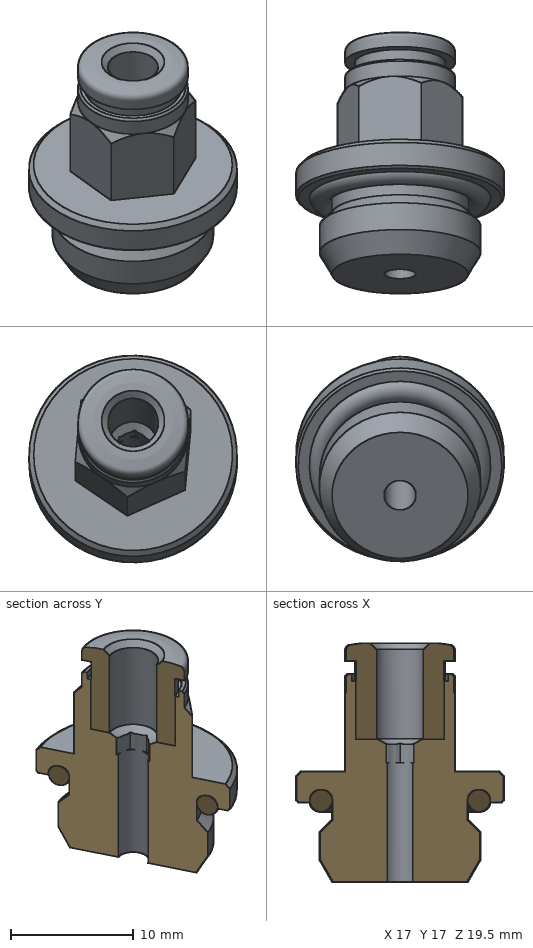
import cadquery as cq
import math

height = 19.5
axis_start = (0, 0)
axis_direction = (0, 1)

thread_diameter = 13.16
thread_bottom_diameter = 11.1
thread_lead_in = 1.8
thread_top_z = 4.08
neck_diameter = 11.2
flange_diameter = 17.0
flange_bottom_z = 6.5
flange_top_z = 9.03
flange_top_chamfer = 0.39
flange_bottom_chamfer = 0.2

hex_flats = 9.0
hex_corner_z = 14.82
hex_top_z = 15.52
collar_diameter = hex_flats
collar_top_z = 17.0
collar_chamfer = 0.2

bore_diameter = 2.6
socket_flats = 2.5
socket_depth = 1.95
funnel_height = 0.45
sleeve_seat_z = 11.7
mouth_diameter = 8.0
mouth_depth = 0.58

sleeve_diameter = 7.4
sleeve_bore = 4.1
sleeve_mouth_diameter = 5.13
sleeve_mouth_depth = 0.5
button_bottom_z = 18.04
button_flat_diameter = 6.51
button_shoulder_diameter = 8.19
button_shoulder_z = 19.38
button_edge_z = 18.92

seal_bottom_z = 5.71
seal_outer_diameter = 14.82
seal_cord_radius = (seal_outer_diameter - neck_diameter) / 4
seal_center_radius = neck_diameter / 2 + seal_cord_radius
seal_center_z = seal_bottom_z + seal_cord_radius


def revolve(profile):
    """Turn a closed half profile, drawn as (radius, z), about the Z axis."""
    return profile.close().revolve(360, axis_start, axis_direction)


def cylinder(diameter, bottom_z, top_z):
    return cq.Workplane("XY").workplane(offset=bottom_z).circle(diameter / 2).extrude(top_z - bottom_z)


def hex_prism(flats, bottom_z, top_z):
    corner_diameter = flats / math.cos(math.pi / 6)
    prism = cq.Workplane("XY").workplane(offset=bottom_z).polygon(6, corner_diameter)
    return prism.extrude(top_z - bottom_z)


def make_seal():
    return (
        cq.Workplane("XZ")
        .center(seal_center_radius, seal_center_z)
        .circle(seal_cord_radius)
        .revolve(360, (-seal_center_radius, 0), (-seal_center_radius, 1))
    )


def make_threaded_end():
    thread_radius = thread_diameter / 2
    neck_radius = neck_diameter / 2
    neck_bottom_z = thread_top_z + thread_radius - neck_radius
    profile = (
        cq.Workplane("XZ")
        .moveTo(0, 0)
        .lineTo(thread_bottom_diameter / 2, 0)
        .lineTo(thread_radius, thread_lead_in)
        .lineTo(thread_radius, thread_top_z)
        .lineTo(neck_radius, neck_bottom_z)
        .lineTo(neck_radius, flange_bottom_z)
        .lineTo(0, flange_bottom_z)
    )
    return revolve(profile)


def make_flange():
    flange = cylinder(flange_diameter, flange_bottom_z, flange_top_z)
    flange = flange.faces(">Z").chamfer(flange_top_chamfer)
    return flange.faces("<Z").chamfer(flange_bottom_chamfer)


def make_hexagon():
    """Hexagon whose top corners are cut back by a cone."""
    flat_radius = hex_flats / 2
    corner_radius = flat_radius / math.cos(math.pi / 6)
    envelope = (
        cq.Workplane("XZ")
        .moveTo(0, flange_top_z)
        .lineTo(corner_radius, flange_top_z)
        .lineTo(corner_radius, hex_corner_z)
        .lineTo(flat_radius, hex_top_z)
        .lineTo(0, hex_top_z)
    )
    return hex_prism(hex_flats, flange_top_z, hex_top_z).intersect(revolve(envelope))


def make_passage():
    """Round through bore, hexagon socket, funnel, sleeve seat and its wider mouth."""
    funnel_bottom_z = sleeve_seat_z - funnel_height
    funnel = (
        cq.Workplane("XZ")
        .moveTo(0, funnel_bottom_z)
        .lineTo(bore_diameter / 2, funnel_bottom_z)
        .lineTo(sleeve_bore / 2, sleeve_seat_z)
        .lineTo(0, sleeve_seat_z)
    )
    return (
        cylinder(bore_diameter, 0, funnel_bottom_z)
        .union(hex_prism(socket_flats, sleeve_seat_z - socket_depth, sleeve_seat_z))
        .union(revolve(funnel))
        .union(cylinder(sleeve_diameter, sleeve_seat_z, collar_top_z))
        .union(cylinder(mouth_diameter, collar_top_z - mouth_depth, collar_top_z))
    )


def make_housing(seal):
    collar = cylinder(collar_diameter, hex_top_z, collar_top_z).faces(">Z").chamfer(collar_chamfer)
    outside = make_threaded_end().union(make_flange()).union(make_hexagon()).union(collar)
    return outside.cut(make_passage()).cut(seal)


def make_sleeve():
    """Push-in sleeve with a wider button whose crown slopes and rounds off."""
    bore_radius = sleeve_bore / 2
    stem_radius = sleeve_diameter / 2
    button_radius = collar_diameter / 2
    shoulder_radius = button_shoulder_diameter / 2
    flat_radius = button_flat_diameter / 2
    profile = (
        cq.Workplane("XZ")
        .moveTo(bore_radius, sleeve_seat_z)
        .lineTo(stem_radius, sleeve_seat_z)
        .lineTo(stem_radius, button_bottom_z)
        .lineTo(button_radius, button_bottom_z)
        .lineTo(button_radius, button_edge_z)
        .tangentArcPoint((shoulder_radius, button_shoulder_z), relative=False)
        .lineTo(flat_radius, height)
        .lineTo(sleeve_mouth_diameter / 2, height)
        .lineTo(bore_radius, height - sleeve_mouth_depth)
    )
    return revolve(profile)


seal = make_seal()
housing = make_housing(seal)
sleeve = make_sleeve()

result = cq.Compound.makeCompound([housing.val(), sleeve.val(), seal.val()])